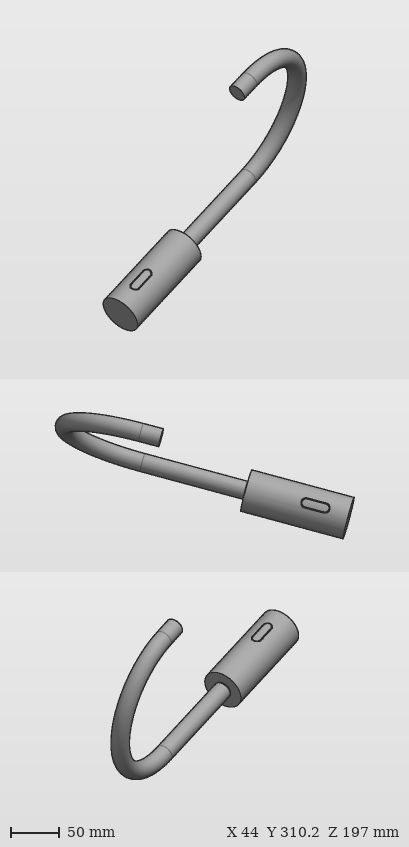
import cadquery as cq
import math

handle_diameter = 44.0
handle_length = 108.3
neck_length = 1.0

total_length = 310.2
total_height = 197.0
tube_diameter = 19.2
spout_length = 21.0
spout_tilt = 1.0

button_length = 28.5
button_width = 8.7
button_gap = 1.0
button_depth = 3.0
button_center_y = 35.0

handle_radius = handle_diameter / 2
tube_radius = tube_diameter / 2
tilt = math.radians(spout_tilt)
rim_height = total_height - handle_radius
bend_radius = (rim_height - spout_length * math.sin(tilt) - tube_radius * math.cos(tilt)) / (1 + math.cos(tilt))
bend_center_y = total_length - tube_radius - bend_radius
shank_start_y = handle_length + neck_length


def cylinder_along_y(radius, start_y, length):
    return cq.Workplane("XZ", origin=(0, start_y, 0)).circle(radius).extrude(-length)


def button_slot(length, width):
    """Upright slot prism, its floor button_depth below the handle's top, trimmed to the handle's curve."""
    prism = (
        cq.Workplane("XY", origin=(0, button_center_y, handle_radius - button_depth))
        .slot2D(length, width, 90)
        .extrude(2 * button_depth)
    )
    return prism.intersect(cylinder_along_y(handle_radius, 0, handle_length))


def make_handle():
    grip = cylinder_along_y(handle_radius, 0, handle_length)
    neck = cylinder_along_y(tube_radius, handle_length, neck_length)
    recess = button_slot(button_length + 2 * button_gap, button_width + 2 * button_gap)
    return grip.union(neck).cut(recess)


def make_button():
    return button_slot(button_length, button_width)


def make_tube():
    bend_middle = (bend_center_y + bend_radius * math.cos(tilt / 2), bend_radius * (1 - math.sin(tilt / 2)))
    bend_end_y = bend_center_y + bend_radius * math.sin(tilt)
    bend_end_z = bend_radius * (1 + math.cos(tilt))
    spout_end = (bend_end_y - spout_length * math.cos(tilt), bend_end_z + spout_length * math.sin(tilt))
    path = (
        cq.Workplane("YZ")
        .moveTo(shank_start_y, 0)
        .lineTo(bend_center_y, 0)
        .threePointArc(bend_middle, (bend_end_y, bend_end_z))
        .lineTo(*spout_end)
    )
    return cq.Workplane("XZ", origin=(0, shank_start_y, 0)).circle(tube_radius).sweep(path)


handle = make_handle()
button = make_button()
tube = make_tube()

result = cq.Compound.makeCompound([handle.val(), button.val(), tube.val()])